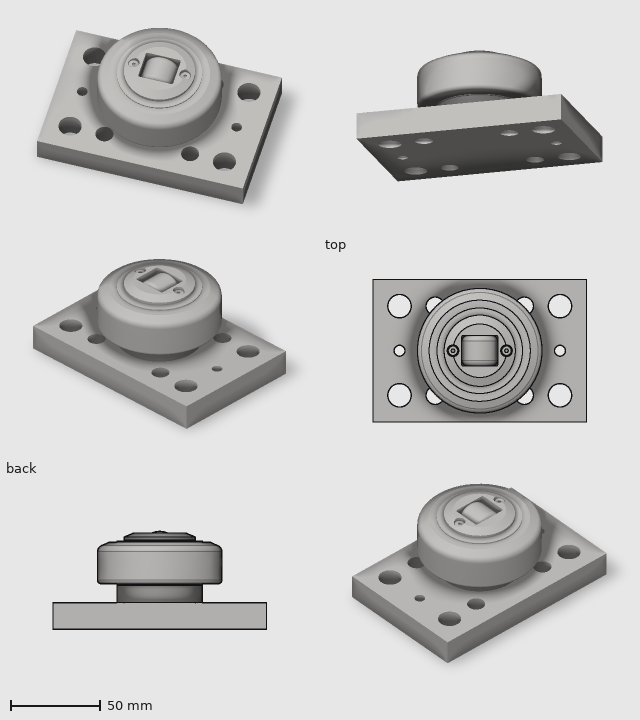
import cadquery as cq
import math

plate_length = 120.0
plate_width = 80.0
plate_thickness = 15.0
corner_hole_d = 13.0
corner_hole_pitch = (90.0, 50.0)
inner_hole_d = 10.11
inner_hole_pitch = (50.0, 50.0)
dowel_hole_d = 6.0
dowel_hole_pitch = 90.0

neck_r = 48.0 / 2
neck_top = 25.1
neck_chamfer = 0.6

roller_r = 70.0 / 2
roller_bottom = 25.5
roller_bottom_fillet = 2.0
roller_crown_top = 43.5
roller_crown_radius = 500.0
roller_top_fillet = 3.75
roller_flat_r = 28.4
rim_cone_angle = math.radians(24.0)

ring_r = neck_r
ring_top = 49.6

cap_r = 40.0 / 2
cap_groove_r = 35.0 / 2
cap_bottom = 50.0
cap_cone_bottom = 51.7
cap_top = 54.0
cap_flat_r = 15.0

pocket_length = 20.3
pocket_width = 17.2
pocket_corner_r = 1.0
side_roller_r = 10.0
side_roller_width = 17.0
side_roller_fillet = 3.0
total_height = 55.0
side_roller_z = total_height - side_roller_r

screw_offset = 15.0
screw_bore_d = 6.5
screw_head_d = 6.0
screw_face_d = 5.35
screw_recess = 1.6
screw_head_height = 1.7
hex_across_flats = 2.0
hex_depth = 1.0


def make_plate():
    """Rectangular plate, centred on Z, with its three sets of through holes."""
    plate = cq.Workplane("XY").box(plate_length, plate_width, plate_thickness, centered=(True, True, False))
    plate = plate.faces(">Z").workplane().rarray(*corner_hole_pitch, 2, 2).hole(corner_hole_d)
    plate = plate.faces(">Z").workplane().rarray(*inner_hole_pitch, 2, 2).hole(inner_hole_d)
    return plate.faces(">Z").workplane().rarray(dowel_hole_pitch, 1, 2, 1).hole(dowel_hole_d)


def make_turned_body():
    """Neck, inner ring, crowned roller and cap as one revolved profile."""
    crown_bottom = roller_bottom + roller_bottom_fillet
    crown_middle = (crown_bottom + roller_crown_top) / 2
    half_crown = roller_crown_top - crown_middle
    crown_drop = roller_crown_radius - math.sqrt(roller_crown_radius**2 - half_crown**2)
    crown_end_r = roller_r - crown_drop

    lower_center_r = crown_end_r - roller_bottom_fillet
    lower_mid = (
        lower_center_r + roller_bottom_fillet * math.cos(math.pi / 4),
        crown_bottom - roller_bottom_fillet * math.sin(math.pi / 4),
    )

    upper_center_r = crown_end_r - roller_top_fillet
    arc_sweep = math.pi / 2 - rim_cone_angle

    def upper_point(angle):
        return (
            upper_center_r + roller_top_fillet * math.cos(angle),
            roller_crown_top + roller_top_fillet * math.sin(angle),
        )

    cone_start_r, cone_start_z = upper_point(arc_sweep)
    roller_top = cone_start_z + (cone_start_r - roller_flat_r) * math.tan(rim_cone_angle)

    profile = (
        cq.Workplane("XZ")
        .moveTo(0, plate_thickness)
        .lineTo(neck_r, plate_thickness)
        .lineTo(neck_r, neck_top - neck_chamfer)
        .lineTo(neck_r - neck_chamfer, neck_top)
        .lineTo(ring_r, neck_top)
        .lineTo(ring_r, roller_bottom)
        .lineTo(lower_center_r, roller_bottom)
        .threePointArc(lower_mid, (crown_end_r, crown_bottom))
        .threePointArc((roller_r, crown_middle), (crown_end_r, roller_crown_top))
        .threePointArc(upper_point(arc_sweep / 2), (cone_start_r, cone_start_z))
        .lineTo(roller_flat_r, roller_top)
        .lineTo(ring_r, roller_top)
        .lineTo(ring_r, ring_top)
        .lineTo(cap_groove_r, ring_top)
        .lineTo(cap_groove_r, cap_bottom)
        .lineTo(cap_r, cap_bottom)
        .lineTo(cap_r, cap_cone_bottom)
        .lineTo(cap_flat_r, cap_top)
        .lineTo(0, cap_top)
        .close()
    )
    return profile.revolve(360, (0, 0, 0), (0, 1, 0))


def make_pocket():
    """Round-cornered pocket, cut from the cap down to the side roller's axis."""
    return (
        cq.Workplane("XY", origin=(0, 0, side_roller_z))
        .rect(pocket_length, pocket_width)
        .extrude(side_roller_r)
        .edges("|Z")
        .fillet(pocket_corner_r)
    )


def make_side_roller():
    """Cylinder along Y with rounded rims; its lower half is buried in the body."""
    return (
        cq.Workplane("XZ", origin=(0, side_roller_width / 2, side_roller_z))
        .circle(side_roller_r)
        .extrude(side_roller_width)
        .edges()
        .fillet(side_roller_fillet)
    )


def make_screw_bore(x):
    """Counterbore that surrounds one cap screw."""
    depth = screw_recess + screw_head_height
    return cq.Workplane("XY", origin=(x, 0, cap_top - depth)).circle(screw_bore_d / 2).extrude(depth)


def make_screw_head(x):
    """Screw head with a bevelled rim and a hexagon socket."""
    bevel = (screw_head_d - screw_face_d) / 2
    head_bottom = cap_top - screw_recess - screw_head_height
    head = (
        cq.Workplane("XY", origin=(x, 0, head_bottom))
        .circle(screw_head_d / 2)
        .extrude(screw_head_height)
        .faces(">Z")
        .chamfer(bevel)
    )
    hex_across_corners = hex_across_flats / math.cos(math.pi / 6)
    socket = (
        cq.Workplane("XY", origin=(x, 0, cap_top - screw_recess - hex_depth))
        .polygon(6, hex_across_corners)
        .extrude(hex_depth)
    )
    return head.cut(socket)


result = make_plate().union(make_turned_body())
result = result.cut(make_pocket()).union(make_side_roller())
for side in (-1, 1):
    screw_x = side * screw_offset
    result = result.cut(make_screw_bore(screw_x)).union(make_screw_head(screw_x))